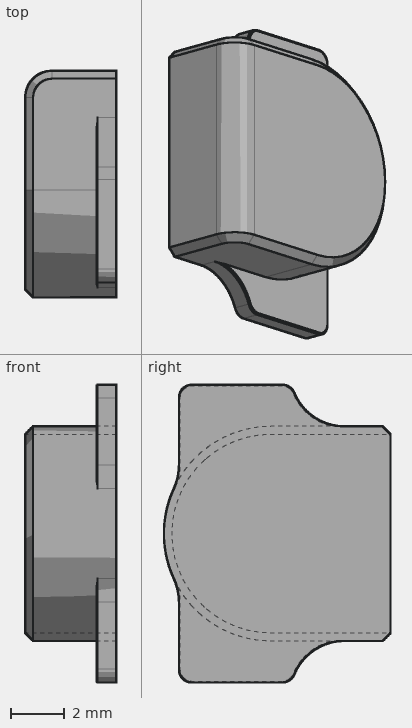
import cadquery as cq
import math

body_depth = 3.4
body_radius = 4.0
body_back_y = 4.45
body_chamfer = 0.3
back_edge_radius = 1.0

wing_thickness = 0.75
wing_tip_z = 5.55
wing_front_y = -3.44
wing_corner_radius = 0.5
wing_back_corner_y = 0.4
back_blend_radius = 2.0
front_blend_radius = 2.1
wing_edge_chamfer = 0.05


def point_between(start, end, distance):
    """Point at a given distance from start on the line towards end."""
    share = distance / math.dist(start, end)
    return (start[0] + share * (end[0] - start[0]), start[1] + share * (end[1] - start[1]))


def arc_middle(centre, start, end, radius):
    """Point halfway along the short arc from start to end."""
    chord_middle = ((start[0] + end[0]) / 2, (start[1] + end[1]) / 2)
    return point_between(centre, chord_middle, radius)


def make_upper_body():
    diagonal_reach = body_radius * math.sqrt(0.5)
    outline = (
        cq.Workplane("YZ")
        .moveTo(body_back_y, 0)
        .lineTo(body_back_y, body_radius)
        .lineTo(0, body_radius)
        .threePointArc((-diagonal_reach, diagonal_reach), (-body_radius, 0))
        .close()
    )
    body = outline.extrude(body_depth)
    body = body.faces("<X").edges(">Y").fillet(back_edge_radius)
    return body.faces(">Z").edges("not(>X or #X)").chamfer(body_chamfer)


def make_upper_wing():
    corner_z = wing_tip_z - wing_corner_radius
    back_corner = (wing_back_corner_y, corner_z)
    front_corner = (wing_front_y + wing_corner_radius, corner_z)

    back_blend_z = body_radius + back_blend_radius
    back_blend_reach = math.sqrt(
        (back_blend_radius + wing_corner_radius) ** 2 - (back_blend_z - corner_z) ** 2
    )
    back_blend = (wing_back_corner_y + back_blend_reach, back_blend_z)
    back_start = (back_blend[0], body_radius)
    back_end = point_between(back_blend, back_corner, back_blend_radius)

    front_blend_y = wing_front_y - front_blend_radius
    front_blend_z = math.sqrt((body_radius + front_blend_radius) ** 2 - front_blend_y**2)
    front_blend = (front_blend_y, front_blend_z)
    front_end = point_between(front_blend, (0, 0), front_blend_radius)

    back_tip = (wing_back_corner_y, wing_tip_z)
    front_tip = (front_corner[0], wing_tip_z)
    front_side = (wing_front_y, corner_z)
    front_start = (wing_front_y, front_blend_z)
    outline = (
        cq.Workplane("YZ", origin=(body_depth - wing_thickness, 0, 0))
        .moveTo(back_start[0], 0)
        .lineTo(*back_start)
        .threePointArc(arc_middle(back_blend, back_start, back_end, back_blend_radius), back_end)
        .threePointArc(arc_middle(back_corner, back_end, back_tip, wing_corner_radius), back_tip)
        .lineTo(*front_tip)
        .threePointArc(arc_middle(front_corner, front_tip, front_side, wing_corner_radius), front_side)
        .lineTo(*front_start)
        .threePointArc(arc_middle(front_blend, front_start, front_end, front_blend_radius), front_end)
        .lineTo(0, 0)
        .close()
    )
    return outline.extrude(wing_thickness).faces("<X").chamfer(wing_edge_chamfer)


upper_half = make_upper_body().union(make_upper_wing())
result = upper_half.union(upper_half.mirror("XY"))